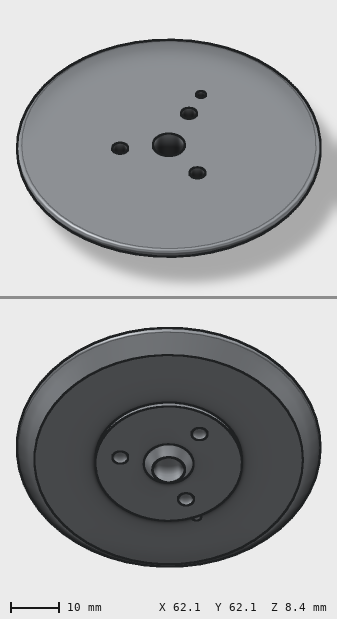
import cadquery as cq
import math

outer_radius = 31.05
total_height = 8.4

disc_thickness = 5.05
rim_radius = 1.0
bevel_angle = math.radians(45)

boss_diameter = 30.0
boss_height = 1.3
nose_base_radius = 5.1
nose_tip_radius = 3.35

center_hole_diameter = 6.5
bolt_hole_diameter = 3.2
bolt_circle_radius = 10.0
bolt_count = 3
pin_hole_diameter = 2.0
pin_hole_offset = (boss_diameter + pin_hole_diameter) / 2

disc_bottom = total_height - disc_thickness
boss_bottom = disc_bottom - boss_height


def make_body():
    """Revolve the half profile of disc, boss and nose about Z."""
    rim_center_r = outer_radius - rim_radius
    rim_center_z = total_height - rim_radius
    rim_end_r = rim_center_r + rim_radius * math.cos(bevel_angle)
    rim_end_z = rim_center_z - rim_radius * math.sin(bevel_angle)
    disc_bottom_radius = rim_end_r - (rim_end_z - disc_bottom) / math.tan(bevel_angle)
    boss_radius = boss_diameter / 2
    profile = (
        cq.Workplane("XZ")
        .moveTo(0, 0)
        .lineTo(nose_tip_radius, 0)
        .lineTo(nose_base_radius, boss_bottom)
        .lineTo(boss_radius, boss_bottom)
        .lineTo(boss_radius, disc_bottom)
        .lineTo(disc_bottom_radius, disc_bottom)
        .lineTo(rim_end_r, rim_end_z)
        .threePointArc((outer_radius, rim_center_z), (rim_center_r, total_height))
        .lineTo(0, total_height)
        .close()
    )
    return profile.revolve(360, (0, 0, 0), (0, 1, 0))


def through_holes(points, diameter):
    """Cylinders along the full height, one at each point."""
    return cq.Workplane("XY").pushPoints(points).circle(diameter / 2).extrude(total_height)


bolt_angles = [math.radians(90 + i * 360 / bolt_count) for i in range(bolt_count)]
bolt_points = [
    (bolt_circle_radius * math.cos(angle), bolt_circle_radius * math.sin(angle))
    for angle in bolt_angles
]

result = (
    make_body()
    .cut(through_holes([(0, 0)], center_hole_diameter))
    .cut(through_holes(bolt_points, bolt_hole_diameter))
    .cut(through_holes([(0, pin_hole_offset)], pin_hole_diameter))
)